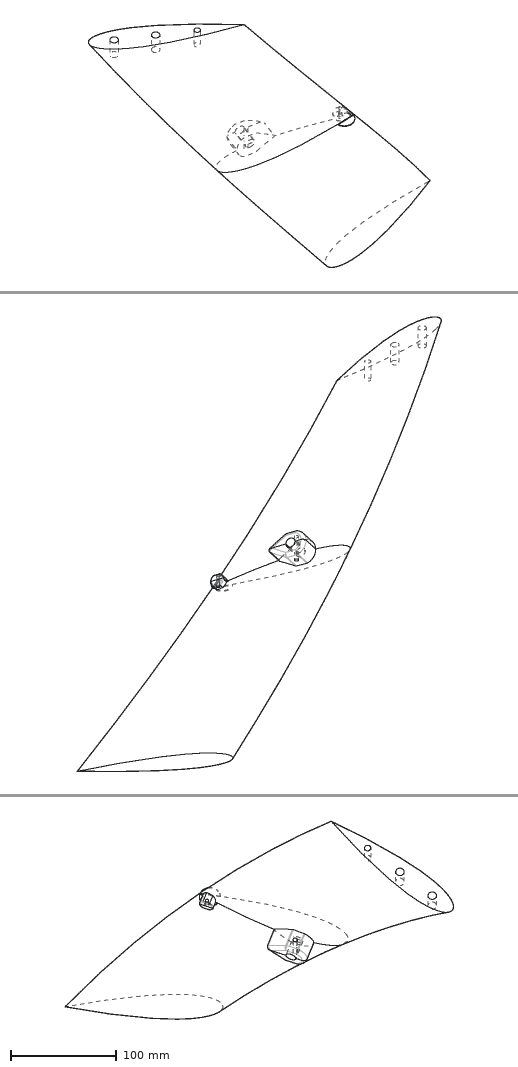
import cadquery as cq
import math


BLADE_HEIGHT = 400.0
HALF_HEIGHT = BLADE_HEIGHT / 2
TWIST_ANGLE = 40.0
BLADE_RADIUS = 355.0
CHORD = 150.0
THICKNESS_RATIO = 0.18
LEADING_EDGE_Y = -0.3 * CHORD
SECTION_STEPS = 30

DOWEL_HOLES = [(25.0, 8.0), (65.0, 8.0), (105.0, 6.0)]
DOWEL_DEPTH = 20.0

BOSS_LENGTH = 35.0
BOSS_HEIGHT = 26.0
BOSS_FLAT = 12.0
BOSS_NOSE_Y = -15.0
BOSS_TAIL_Y = 27.0
BOSS_TAIL_RADIUS = 2.0
BOSS_END_FILLET = 3.5
STRUT_HOLE_DIAMETER = 10.0
STRUT_HOLE_DEPTH = 20.0
BOSS_SCREW_DIAMETER = 4.0
BOSS_SCREW_X = BLADE_RADIUS - 23.0

LUG_Y = 94.5
LUG_LENGTH = 11.0
LUG_DIAMETER = 14.0
LUG_HEIGHT = 12.5
LUG_END_FILLET = 1.0
LUG_SCREW_DIAMETER = 3.0
LUG_SCREW_X = BLADE_RADIUS - 8.0

PAD_DIAMETER = 20.0
PAD_THICKNESS = 1.0


def half_thickness(fraction):
    """Half thickness of the section at a fraction of the chord (NACA four-digit, closed tail)."""
    shape = (
        0.2969 * math.sqrt(fraction)
        - 0.1260 * fraction
        - 0.3516 * fraction**2
        + 0.2843 * fraction**3
        - 0.1036 * fraction**4
    )
    return 5 * THICKNESS_RATIO * CHORD * shape


def section_side(side):
    """Points on one side (-1 or 1) of the section, from the leading to the trailing edge."""
    points = []
    for step in range(SECTION_STEPS + 1):
        fraction = 1 - math.cos(math.pi / 2 * step / SECTION_STEPS)
        x = BLADE_RADIUS + side * half_thickness(fraction)
        points.append((x, LEADING_EDGE_Y + CHORD * fraction))
    points[-1] = (BLADE_RADIUS, LEADING_EDGE_Y + CHORD)
    return points


def twisted_blade():
    outline = section_side(-1)[::-1] + section_side(1)[1:]
    return (
        cq.Workplane("XY")
        .workplane(offset=-HALF_HEIGHT)
        .transformed(rotate=(0, 0, TWIST_ANGLE / 2))
        .spline(outline)
        .close()
        .twistExtrude(BLADE_HEIGHT, -TWIST_ANGLE)
    )


def strut_boss():
    top = BOSS_HEIGHT / 2
    flat = BOSS_FLAT / 2
    return (
        cq.Workplane("YZ", origin=(BLADE_RADIUS - BOSS_LENGTH, 0, 0))
        .moveTo(BOSS_TAIL_Y, 0)
        .lineTo(flat, top)
        .lineTo(-flat, top)
        .threePointArc((BOSS_NOSE_Y, 0), (-flat, -top))
        .lineTo(flat, -top)
        .close()
        .extrude(BOSS_LENGTH)
        .edges("(|X) and (not <Y)")
        .fillet(BOSS_TAIL_RADIUS)
        .faces("<X")
        .edges()
        .fillet(BOSS_END_FILLET)
    )


def screw_lug():
    bar = cq.Workplane("YZ", origin=(BLADE_RADIUS - LUG_LENGTH, LUG_Y, 0)).circle(LUG_DIAMETER / 2)
    slab = cq.Workplane("XY", origin=(BLADE_RADIUS, LUG_Y, 0)).box(
        2 * LUG_LENGTH, LUG_DIAMETER, LUG_HEIGHT
    )
    return bar.extrude(LUG_LENGTH).intersect(slab).faces("<X").edges().fillet(LUG_END_FILLET)


def trailing_pad():
    return (
        cq.Workplane("XY", origin=(BLADE_RADIUS, LUG_Y, 0))
        .circle(PAD_DIAMETER / 2)
        .extrude(-PAD_THICKNESS)
    )


def dowel_holes():
    holes = cq.Workplane("XY")
    for distance, diameter in DOWEL_HOLES:
        hole = (
            cq.Workplane("XY", origin=(BLADE_RADIUS, LEADING_EDGE_Y + distance, HALF_HEIGHT))
            .circle(diameter / 2)
            .extrude(-DOWEL_DEPTH)
        )
        holes = holes.add(hole)
    return holes.combine().rotate((0, 0, 0), (0, 0, 1), -TWIST_ANGLE / 2)


def strut_hole():
    return (
        cq.Workplane("YZ", origin=(BLADE_RADIUS - BOSS_LENGTH, 0, 0))
        .circle(STRUT_HOLE_DIAMETER / 2)
        .extrude(STRUT_HOLE_DEPTH)
    )


def screw_hole(x, y, diameter, height):
    """Vertical hole right through a boss of the given height, across the joint plane."""
    return cq.Workplane("XY", origin=(x, y, 0)).circle(diameter / 2).extrude(height / 2, both=True)


def whole_blade():
    solid = twisted_blade().union(strut_boss()).union(screw_lug()).union(trailing_pad())
    return (
        solid.cut(dowel_holes())
        .cut(strut_hole())
        .cut(screw_hole(BOSS_SCREW_X, 0, BOSS_SCREW_DIAMETER, BOSS_HEIGHT))
        .cut(screw_hole(LUG_SCREW_X, LUG_Y, LUG_SCREW_DIAMETER, LUG_HEIGHT))
    )


def space_above_joint():
    reach = 2 * (BLADE_RADIUS + CHORD)
    return cq.Workplane("XY").rect(reach, reach).extrude(BLADE_HEIGHT)


def upper_half(blade):
    return blade.intersect(space_above_joint())


def lower_half(blade):
    return blade.cut(space_above_joint())


blade = whole_blade()
upper_blade = upper_half(blade).solids()
lower_blade = lower_half(blade).solids()

result = cq.Compound.makeCompound([upper_blade.val(), lower_blade.val()])